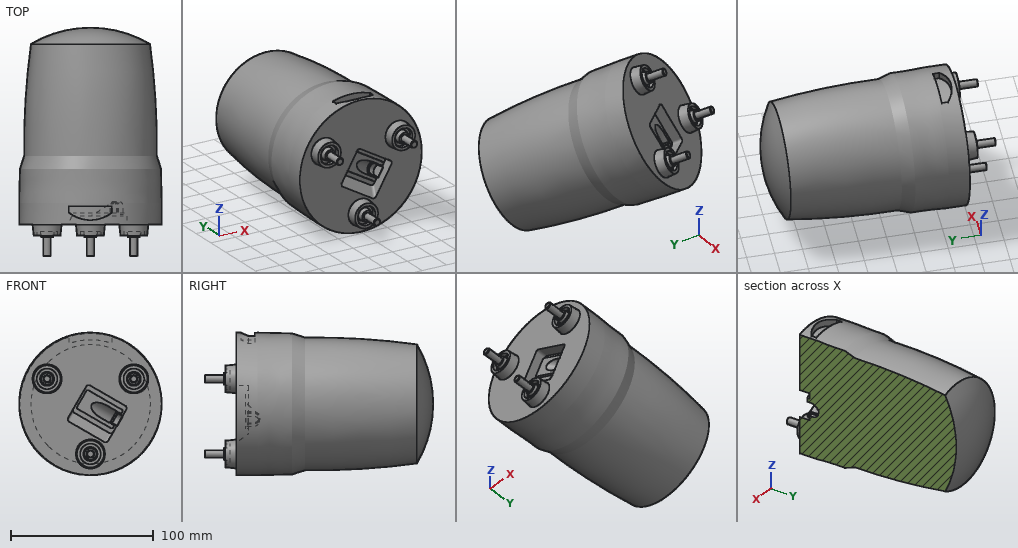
import cadquery as cq
import math

total_length = 160.0
base_diameter = 100.0
pin_length = 22.0
base_radius = base_diameter / 2
body_height = total_length - pin_length

base_height = 15.0
shoulder_height = 39.0
shoulder_radius = 49.5
lens_start_height = 48.2
lens_start_radius = 46.5
lens_middle_height = 100.6
lens_middle_radius = 44.6
dome_height = 126.4
dome_radius = 41.8

foot_count = 3
first_foot_angle = 30
bolt_circle_radius = 35.0
foot_height = 7.7
foot_base_radius = 10.2
foot_tip_radius = 9.5
recess_radius = 7.2
recess_depth = 3.2
hub_height = 8.6
hub_base_radius = 5.0
hub_tip_radius = 4.2
pin_radius = 2.7
pin_chamfer = 0.5

notch_half_width = 15.0
notch_back = 13.0
notch_side_end = 8.5
notch_front = 3.2
notch_depth = 5.0

pocket_angle = 30
pocket_left = -8.6
pocket_right = 23.7
pocket_top = 11.0
ramp_top = -11.0
ramp_bottom = -18.2
pocket_depth = 8.5
pocket_corner_radius = 2.0

pad_left = -7.0
pad_right = 22.0
pad_half_width = 7.5
pad_height = 2.0
pad_corner_radius = 1.0

channel_start = 1.0
groove_end = 18.4
collar_end = 19.8
channel_end = 24.0
groove_radius = 4.8
collar_radius = 4.5
level_radius = 4.0
pad_gap_half_width = 4.8
channel_bottom = 16.0
undercut_depth = 7.4


def make_body():
    profile = (
        cq.Workplane("XY")
        .lineTo(base_radius, 0)
        .lineTo(base_radius, base_height)
        .lineTo(shoulder_radius, shoulder_height)
        .lineTo(lens_start_radius, lens_start_height)
        .threePointArc((lens_middle_radius, lens_middle_height), (dome_radius, dome_height))
    )
    rise = body_height - dome_height
    sphere_radius = (dome_radius**2 + rise**2) / (2 * rise)
    half_angle = math.asin(dome_radius / sphere_radius) / 2
    dome_middle = (
        sphere_radius * math.sin(half_angle),
        body_height - sphere_radius * (1 - math.cos(half_angle)),
    )
    profile = profile.threePointArc(dome_middle, (0, body_height)).close()
    return profile.revolve(360, (0, 0, 0), (0, 1, 0))


def make_foot():
    profile = (
        cq.Workplane("XY")
        .lineTo(foot_base_radius, 0)
        .lineTo(foot_tip_radius, -foot_height)
        .lineTo(recess_radius, -foot_height)
        .lineTo(recess_radius, recess_depth - foot_height)
        .lineTo(hub_base_radius, recess_depth - foot_height)
        .lineTo(hub_tip_radius, -hub_height)
        .lineTo(pin_radius, -hub_height)
        .lineTo(pin_radius, pin_chamfer - pin_length)
        .lineTo(pin_radius - pin_chamfer, -pin_length)
        .lineTo(0, -pin_length)
        .close()
    )
    return profile.revolve(360, (0, 0, 0), (0, 1, 0))


def make_notch():
    outline = (
        cq.Workplane("XY")
        .moveTo(-notch_half_width, notch_back)
        .lineTo(-notch_half_width, notch_side_end)
        .threePointArc((0, notch_front), (notch_half_width, notch_side_end))
        .lineTo(notch_half_width, notch_back)
        .close()
    )
    core = cq.Workplane("XZ").circle(base_radius - notch_depth).extrude(-base_height)
    return outline.extrude(base_radius).cut(core)


def make_pocket():
    profile = (
        cq.Workplane("YZ", origin=(pocket_left, 0, 0))
        .moveTo(0, pocket_top)
        .lineTo(pocket_depth, pocket_top)
        .lineTo(pocket_depth, ramp_top)
        .lineTo(0, ramp_bottom)
        .close()
    )
    pocket = profile.extrude(pocket_right - pocket_left)
    pocket = pocket.edges("|Y").fillet(pocket_corner_radius)
    ramp_edges = pocket.faces("<Z").edges("<X or >X")
    return ramp_edges.fillet(pocket_corner_radius)


def make_pad():
    centre = ((pad_left + pad_right) / 2, pocket_depth, 0)
    pad = cq.Workplane("XZ", origin=centre).rect(pad_right - pad_left, 2 * pad_half_width)
    return pad.extrude(pad_height).edges("|Y").fillet(pad_corner_radius)


def round_bottom_slot(plane, radius, wall_height):
    return (
        cq.Workplane(plane)
        .moveTo(radius, wall_height)
        .lineTo(radius, 0)
        .threePointArc((0, -radius), (-radius, 0))
        .lineTo(-radius, wall_height)
        .close()
    )


def cross_plane(u, depth, slope):
    return cq.Plane(origin=(u, depth, 0), xDir=(0, 0, 1), normal=(math.cos(slope), math.sin(slope), 0))


def make_channel():
    pad_top = pocket_depth - pad_height
    slope = math.atan2(channel_bottom - pad_top, groove_end - channel_start)
    start_plane = cross_plane(
        channel_start + groove_radius * math.sin(slope),
        pad_top - groove_radius * math.cos(slope),
        slope,
    )
    groove = round_bottom_slot(start_plane, groove_radius, channel_bottom)
    groove = groove.extrude(2 * (groove_end - channel_start), both=True)
    groove = groove.intersect(
        cq.Workplane("XY")
        .box(groove_end - pad_left, channel_bottom, 4 * groove_radius, centered=(False, False, True))
        .translate((pad_left, pad_top, 0))
    )

    axis_depth = channel_bottom - level_radius
    collar = round_bottom_slot(cross_plane(groove_end, axis_depth, 0), collar_radius, axis_depth - pad_top)
    collar = collar.extrude(collar_end - groove_end)
    level_plane = cross_plane(collar_end, axis_depth, 0)
    level = round_bottom_slot(level_plane, level_radius, axis_depth - undercut_depth)
    level = level.extrude(channel_end - collar_end)

    pad_gap = (
        cq.Workplane("XY")
        .box(pad_right - collar_end, pad_height, 2 * pad_gap_half_width, centered=(False, False, True))
        .translate((collar_end, pad_top, 0))
    )
    return groove.union(collar).union(level).union(pad_gap)


foot = make_foot()
result = make_body()
for index in range(foot_count):
    angle = math.radians(first_foot_angle + index * 360 / foot_count)
    x = bolt_circle_radius * math.cos(angle)
    z = bolt_circle_radius * math.sin(angle)
    result = result.union(foot.translate((x, 0, z)))

result = result.cut(make_notch())
pocket = make_pocket().cut(make_pad()).union(make_channel())
result = result.cut(pocket.rotate((0, 0, 0), (0, 1, 0), pocket_angle))